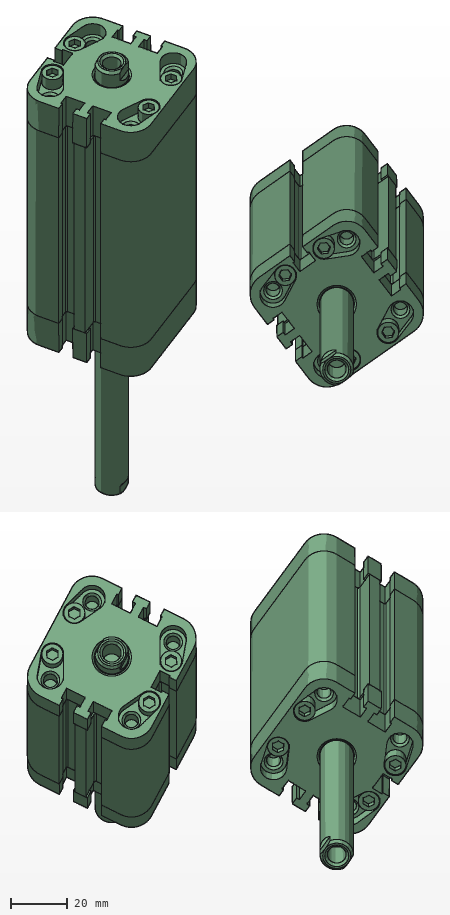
import cadquery as cq
import math

TOTAL_LENGTH = 207.0
HOUSING_LENGTH = 119.0
CAP_LENGTH = 14.25
BARREL_LENGTH = HOUSING_LENGTH - 2 * CAP_LENGTH
ROD_TOP_STICKOUT = 6.5
ROD_BOTTOM_STICKOUT = TOTAL_LENGTH - HOUSING_LENGTH - ROD_TOP_STICKOUT

HOUSING_WIDTH = 49.0
MOUNT_OFFSET = 16.25
CORNER_RADIUS = HOUSING_WIDTH / 2 - MOUNT_OFFSET
CAP_END_CORNER_RADIUS = 16.32 / 2
CAP_DRAFT = math.degrees(math.atan((CORNER_RADIUS - CAP_END_CORNER_RADIUS) / CAP_LENGTH))

MOUTH_WIDTH = 5.63
SLOT_OFFSET = MOUTH_WIDTH
RIB_EDGE = SLOT_OFFSET - MOUTH_WIDTH / 2
SLOT_DEPTH = 6.95
LIP_DEPTH = 2.9
UNDERCUT = 0.63
CAP_RIB_UNDERCUT = 1.2
BARREL_RIB_UNDERCUT = 0.6
FLOOR_CHAMFER = 0.6

ROD_DIAMETER = 12.0
ROD_CHAMFER = 1.0
ROD_FLATS = 10.0
FLAT_LENGTH = 4.5
ROD_THREAD_DIAMETER = 6.65
ROD_THREAD_MOUTH = 8.57
ROD_THREAD_DEPTH = 14.0

WIPER_INNER_DIAMETER = 12.54
WIPER_OUTER_DIAMETER = 14.0

POCKET_DEPTH = 5.25
MOUNT_POCKET_DIAMETER = 9.4
MOUNT_THREAD_DIAMETER = 4.92
MOUNT_THREAD_MOUTH = 6.65
MOUNT_THREAD_DEPTH = 8.0
SCREW_X = 19.4
SCREW_Y = 8.55
SCREW_POCKET_DIAMETER = 8.0
SCREW_HEAD_DIAMETER = 7.5
SCREW_HEAD_HEIGHT = 4.9
HEX_ACROSS_FLATS = 4.0
HEX_DEPTH = 2.5


def cylinder(diameter, bottom, height, center=(0, 0)):
    base = cq.Workplane("XY", origin=(*center, bottom))
    return base.circle(diameter / 2).extrude(height)


def countersink(small_diameter, large_diameter, top, center=(0, 0)):
    """45 degree cone that widens up to the level `top`."""
    depth = (large_diameter - small_diameter) / 2
    base = cq.Vector(*center, top - depth)
    return cq.Workplane(cq.Solid.makeCone(small_diameter / 2, large_diameter / 2, depth, base))


def housing_block(length, draft=0):
    outline = cq.Sketch().rect(HOUSING_WIDTH, HOUSING_WIDTH).vertices().fillet(CORNER_RADIUS)
    return cq.Workplane("XY").placeSketch(outline).extrude(length, taper=draft)



def t_slot(left_undercut, right_undercut, length):
    """Slot open to the -Y side, centred on X = 0, with an undercut behind each lip."""
    half_mouth = MOUTH_WIDTH / 2
    left_wall = -half_mouth - left_undercut
    right_wall = half_mouth + right_undercut
    face = -HOUSING_WIDTH / 2
    lip = face + LIP_DEPTH
    floor = face + SLOT_DEPTH
    return (
        cq.Workplane("XY")
        .moveTo(-half_mouth, face)
        .lineTo(half_mouth, face)
        .lineTo(half_mouth, lip)
        .lineTo(right_wall, lip)
        .lineTo(right_wall, floor)
        .lineTo(left_wall, floor)
        .lineTo(left_wall, lip)
        .lineTo(-half_mouth, lip)
        .close()
        .extrude(length)
    )


def chamfer_floor(slot):
    return slot.faces(">Y").edges("|Z").chamfer(FLOOR_CHAMFER)


def cut_slots(block, rib_slot, single_slot):
    """Cut the slot beside the rib four times, and the single slot on the -X side."""
    right = rib_slot.translate((SLOT_OFFSET, 0, 0))
    left = right.mirror("YZ")
    for slot in (right, left):
        block = block.cut(slot).cut(slot.mirror("XZ"))
    return block.cut(single_slot.rotate((0, 0, 0), (0, 0, 1), -90))



def trim_rib_heads(block):
    """Narrow the outer part of both ribs, so that the barrel ribs have straight sides."""
    trim_x = RIB_EDGE - BARREL_RIB_UNDERCUT / 2
    trim_y = (HOUSING_WIDTH - LIP_DEPTH) / 2
    trims = (
        cq.Workplane("XY")
        .rect(2 * trim_x, 2 * trim_y, forConstruction=True)
        .vertices()
        .rect(BARREL_RIB_UNDERCUT, LIP_DEPTH)
        .extrude(BARREL_LENGTH)
    )
    return block.cut(trims)


def make_barrel():
    rib_slot = chamfer_floor(t_slot(BARREL_RIB_UNDERCUT, UNDERCUT, BARREL_LENGTH))
    single_slot = chamfer_floor(t_slot(UNDERCUT, UNDERCUT, BARREL_LENGTH))
    barrel = cut_slots(housing_block(BARREL_LENGTH), rib_slot, single_slot)
    barrel = trim_rib_heads(barrel)
    barrel = barrel.cut(cylinder(ROD_DIAMETER, 0, BARREL_LENGTH))
    return barrel.translate((0, 0, CAP_LENGTH))



def tapered_pocket(center_a, diameter_a, center_b, diameter_b, bottom, height):
    """Prism around two circles and the straight lines that touch both of them."""
    dx = center_b[0] - center_a[0]
    dy = center_b[1] - center_a[1]
    axis = math.atan2(dy, dx)
    touch = math.acos((diameter_a - diameter_b) / 2 / math.hypot(dx, dy))

    def rim(center, diameter, angle):
        x = center[0] + diameter / 2 * math.cos(angle)
        y = center[1] + diameter / 2 * math.sin(angle)
        return (x, y)

    return (
        cq.Workplane("XY", origin=(0, 0, bottom))
        .moveTo(*rim(center_a, diameter_a, axis + touch))
        .threePointArc(rim(center_a, diameter_a, axis + math.pi), rim(center_a, diameter_a, axis - touch))
        .lineTo(*rim(center_b, diameter_b, axis - touch))
        .threePointArc(rim(center_b, diameter_b, axis), rim(center_b, diameter_b, axis + touch))
        .close()
        .extrude(height)
    )


def screw_head(center, bottom):
    head = cylinder(SCREW_HEAD_DIAMETER, bottom, SCREW_HEAD_HEIGHT, center)
    socket_bottom = bottom + SCREW_HEAD_HEIGHT - HEX_DEPTH
    across_corners = HEX_ACROSS_FLATS / math.cos(math.pi / 6)
    socket = (
        cq.Workplane("XY", origin=(*center, socket_bottom))
        .polygon(6, across_corners)
        .extrude(HEX_DEPTH)
    )
    return head.cut(socket)


def corner_cut():
    """Everything removed at the +X +Y corner: pocket around the screw head, and mounting thread."""
    mount = (MOUNT_OFFSET, MOUNT_OFFSET)
    screw = (SCREW_X, SCREW_Y)
    floor = CAP_LENGTH - POCKET_DEPTH
    pocket = tapered_pocket(
        mount, MOUNT_POCKET_DIAMETER, screw, SCREW_POCKET_DIAMETER, floor, POCKET_DEPTH
    )
    thread = cylinder(MOUNT_THREAD_DIAMETER, floor - MOUNT_THREAD_DEPTH, MOUNT_THREAD_DEPTH, mount)
    mouth = countersink(MOUNT_THREAD_DIAMETER, MOUNT_THREAD_MOUTH, floor, mount)
    return pocket.cut(screw_head(screw, floor)).union(thread).union(mouth)


def make_cap():
    """Cap with its joint face at Z = 0 and its outer face upwards."""
    rib_slot = t_slot(CAP_RIB_UNDERCUT, UNDERCUT, CAP_LENGTH)
    single_slot = t_slot(UNDERCUT, UNDERCUT, CAP_LENGTH)
    cap = cut_slots(housing_block(CAP_LENGTH, CAP_DRAFT), rib_slot, single_slot)
    right_corner = corner_cut()
    left_corner = right_corner.mirror("YZ")
    for corner in (right_corner, left_corner):
        cap = cap.cut(corner).cut(corner.mirror("XZ"))
    cap = cap.cut(cylinder(ROD_DIAMETER, 0, CAP_LENGTH))
    return cap.cut(countersink(WIPER_INNER_DIAMETER, WIPER_OUTER_DIAMETER, CAP_LENGTH))



def wrench_flat():
    """Cut for the +X flat of a rod end whose end face is at Z = 0, with a 45 degree run-out."""
    flat_x = ROD_FLATS / 2
    rod_x = ROD_DIAMETER / 2
    run_out = rod_x - flat_x
    return (
        cq.Workplane("XZ")
        .moveTo(flat_x, 0)
        .lineTo(rod_x, 0)
        .lineTo(rod_x, -FLAT_LENGTH - run_out)
        .lineTo(flat_x, -FLAT_LENGTH)
        .close()
        .extrude(ROD_DIAMETER / 2, both=True)
    )


def make_rod():
    rod = cylinder(ROD_DIAMETER, 0, TOTAL_LENGTH)
    rod = rod.faces("<Z or >Z").edges().chamfer(ROD_CHAMFER)
    flat = wrench_flat()
    end_cuts = [
        flat,
        flat.mirror("YZ"),
        cylinder(ROD_THREAD_DIAMETER, -ROD_THREAD_DEPTH, ROD_THREAD_DEPTH),
        countersink(ROD_THREAD_DIAMETER, ROD_THREAD_MOUTH, 0),
    ]
    for end_cut in end_cuts:
        rod = rod.cut(end_cut.translate((0, 0, TOTAL_LENGTH)))
        rod = rod.cut(end_cut.mirror("XY"))
    return rod.translate((0, 0, -ROD_BOTTOM_STICKOUT))


barrel = make_barrel()
cap = make_cap()
top_cap = cap.translate((0, 0, HOUSING_LENGTH - CAP_LENGTH))
bottom_cap = cap.mirror("XY").translate((0, 0, CAP_LENGTH))
piston_rod = make_rod()

bodies = [barrel, top_cap, bottom_cap, piston_rod]
result = cq.Compound.makeCompound([body.solids().val() for body in bodies])